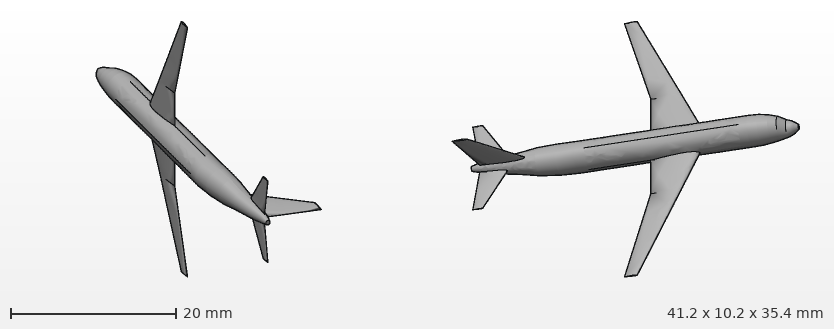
import cadquery as cq
import math


LENGTH = 41.2
HEIGHT = 10.18
SPAN = 35.35

BODY_HEIGHT = 4.0
BODY_HALF_HEIGHT = BODY_HEIGHT / 2
BODY_HALF_WIDTH = 1.95

NOSE_STATIONS = [
    (0.0, -0.37, -0.95, 0.35),
    (0.55, 0.05, -1.35, 0.7),
    (0.8, 0.15, -1.5, 0.85),
    (1.4, 0.35, -1.65, 1.1),
    (2.3, 1.2, -1.8, 1.45),
    (3.3, 1.6, -1.9, 1.7),
    (4.55, 1.9, -1.98, 1.9),
]
CABIN_STATIONS = [
    (x, BODY_HALF_HEIGHT, -BODY_HALF_HEIGHT, BODY_HALF_WIDTH) for x in (5.75, 6.9, 26.37, 27.75)
]
TAIL_STATIONS = [
    (30.1, BODY_HALF_HEIGHT, -1.75, BODY_HALF_WIDTH),
    (32.6, 1.98, -1.28, 1.77),
    (35.03, 1.85, -0.75, 1.3),
    (38.3, 1.75, 0.0, 0.9),
    (39.9, 1.55, 0.5, 0.6),
    (40.9, 1.3, 0.75, 0.35),
]

WING_Y = 0.0
WING_STATIONS = [
    (0.0, 11.35, 18.55, 2.9),
    (6.6, 14.65, 18.55, 1.3),
    (SPAN / 2, 20.25, 21.9, 0.6),
]
TAILPLANE_Y = 1.1
TAILPLANE_STATIONS = [
    (0.0, 35.65, 39.75, 0.9),
    (5.75, 39.48, 40.75, 0.4),
]
FIN_STATIONS = [
    (1.05, 33.17, 39.55, 1.3),
    (HEIGHT - BODY_HALF_HEIGHT, 39.35, LENGTH, 0.5),
]

THICKNESS_GAIN = 2.05
ROOT_TERM = 0.2969
POWER_TERMS = (-0.1260, -0.3516, 0.2843, -0.1036)
CURVE_STEPS = 12

FULL_TURN = 360
QUARTER_TURN = FULL_TURN // 4


def half_thickness(fraction):
    """Half thickness of a unit-thick airfoil at a fraction of its chord."""
    total = ROOT_TERM * math.sqrt(fraction)
    for power, term in enumerate(POWER_TERMS, start=1):
        total += term * fraction**power
    return THICKNESS_GAIN * total


def airfoil_wire(plane, leading, trailing, thickness):
    """Symmetric airfoil from leading to trailing edge along the plane's local x."""
    chord = trailing - leading
    upper = []
    for step in range(CURVE_STEPS + 1):
        fraction = (1 + math.cos(math.pi * step / CURVE_STEPS)) / 2
        upper.append((leading + chord * fraction, thickness * half_thickness(fraction)))
    upper[0] = (trailing, 0.0)
    lower = [(x, -y) for x, y in reversed(upper[:-1])]
    return cq.Workplane(plane).spline(upper + lower).wire().val()


def lifting_surface(stations, normal, base_y=0.0):
    """Ruled loft through airfoils stacked outward along the normal."""
    root = cq.Vector(0, base_y, 0)
    wires = []
    for distance, leading, trailing, thickness in stations:
        origin = root + cq.Vector(*normal) * distance
        plane = cq.Plane(origin=origin, xDir=(1, 0, 0), normal=normal)
        wires.append(airfoil_wire(plane, leading, trailing, thickness))
    return cq.Workplane(cq.Solid.makeLoft(wires, True))


def ellipse_wire(x, top, bottom, half_width):
    """Cross-section ellipse made of four quarter arcs."""
    plane = cq.Plane(origin=(x, (top + bottom) / 2, 0), xDir=(0, 1, 0), normal=(1, 0, 0))
    half_height = (top - bottom) / 2
    quarters = [
        cq.Edge.makeEllipse(
            half_height,
            half_width,
            plane.origin,
            plane.zDir,
            plane.xDir,
            start,
            start + QUARTER_TURN,
        )
        for start in range(0, FULL_TURN, QUARTER_TURN)
    ]
    return cq.Wire.assembleEdges(quarters)


def mirrored_pair(half):
    """A surface and its mirror image across the XY plane."""
    return half.union(half.mirror("XY"))


body_stations = NOSE_STATIONS + CABIN_STATIONS + TAIL_STATIONS
body_wires = [ellipse_wire(*station) for station in body_stations]
fuselage = cq.Workplane(cq.Solid.makeLoft(body_wires, True))
wings = mirrored_pair(lifting_surface(WING_STATIONS, (0, 0, 1), WING_Y))
tailplane = mirrored_pair(lifting_surface(TAILPLANE_STATIONS, (0, 0, 1), TAILPLANE_Y))
fin = lifting_surface(FIN_STATIONS, (0, 1, 0))

aircraft = fuselage.union(wings).union(tailplane).union(fin)
result = cq.Workplane(aircraft.solids().val())